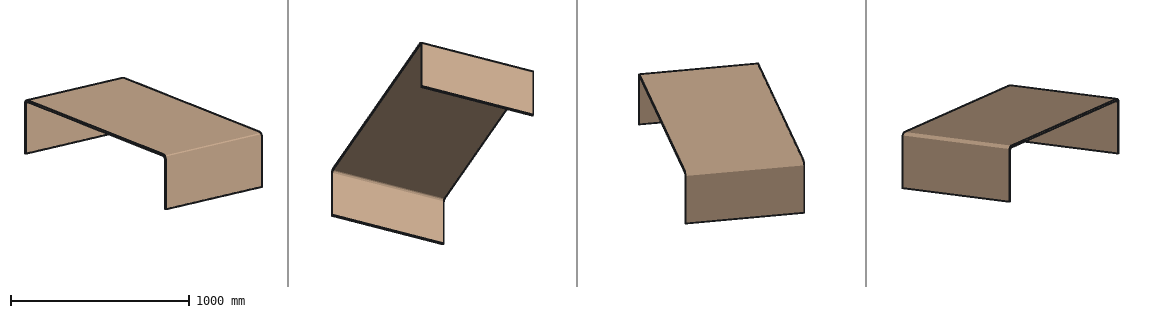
import cadquery as cq

length = 1302.0
depth = 680.0
height = 320.0

thickness = 12.0
outer_bend_radius = 28.0
inner_bend_radius = outer_bend_radius - thickness


def arch_block(block_length, block_height, bend_radius):
    """Solid block standing on Z = 0, with its two upper edges along Y rounded."""
    block = cq.Workplane("XY").box(block_length, depth, block_height, centered=(True, True, False))
    return block.edges("|Y and >Z").fillet(bend_radius)


outer_block = arch_block(length, height, outer_bend_radius)
inner_block = arch_block(length - 2 * thickness, height - thickness, inner_bend_radius)

result = outer_block.cut(inner_block)